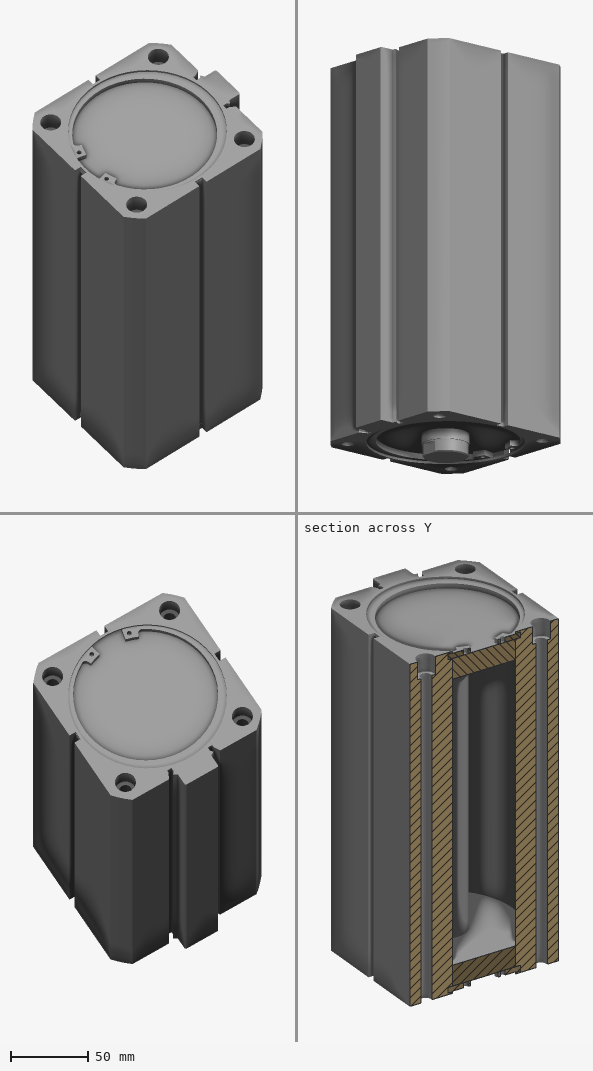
import cadquery as cq
import math

TOTAL_LENGTH = 260.0
ROD_REACH = 10.0
TUBE_LENGTH = TOTAL_LENGTH - ROD_REACH
TUBE_WIDTH = 115.0
HALF_WIDTH = TUBE_WIDTH / 2
CORNER_RADIUS = 74.4
BORE_RADIUS = 51.2

BOLT_OFFSET = 44.5
BOLT_HOLE_DIAMETER = 8.3
COUNTERBORE_DIAMETER = 13.5
COUNTERBORE_DEPTH = 13.0

SLOT_WIDTH = 6.0
SLOT_DEPTH = 4.7

RAIL_HALF_WIDTH = 12.7
RAIL_HEIGHT = 9.0
RAIL_CORNER_CHAMFER = 0.8
RAIL_TOP = HALF_WIDTH + RAIL_HEIGHT
HOOK_ROOT = 13.8
HOOK_TIP = 15.3
HOOK_TIP_Y = 56.0
HOOK_BASE_Y = 54.0
CHANNEL_FLOOR_Y = 51.5
CHANNEL_WALL = 17.2
CHANNEL_WALL_TOP_Y = 53.3
CHANNEL_MOUTH = 19.5

GROOVE_RADIUS = 53.0
RING_THICKNESS = 3.6
RING_INSET = 5.2
FRONT_RING_BOTTOM = RING_INSET - RING_THICKNESS
REAR_RING_BOTTOM = TUBE_LENGTH - RING_INSET
RING_INNER_RADIUS = 46.8
RING_ECCENTRICITY = 2.3
RING_GAP_ANGLE = 13.0
LUG_END_ANGLE = 24.5
LUG_INNER_RADIUS = 43.7
LUG_FILLET = 2.5
LUG_HOLE_RADIUS = 47.3
LUG_HOLE_ANGLE = 17.5
LUG_HOLE_DIAMETER = 3.0

CAP_THICKNESS = 15.5
REAR_CAP_BOTTOM = REAR_RING_BOTTOM - CAP_THICKNESS
COLLAR_DIAMETER = 31.0
COLLAR_REACH = 1.5

ROD_DIAMETER = 29.6
ROD_FLAT_OFFSET = 13.8
ROD_FLAT_LENGTH = 7.3
ROD_CHAMFER = 0.8


def disc(radius, bottom, height):
    """Solid disc on the cylinder axis."""
    return cq.Workplane("XY").workplane(offset=bottom).circle(radius).extrude(height)


def polar(radius, angle):
    """Point at an angle from -Y, counted towards +X, in degrees."""
    turn = math.radians(angle)
    return radius * math.sin(turn), -radius * math.cos(turn)


def make_rail():
    """Back rail with its hooked edges, reaching into the tube wall."""
    right_side = [
        (HOOK_ROOT, CHANNEL_FLOOR_Y),
        (HOOK_ROOT, HOOK_BASE_Y),
        (HOOK_TIP, HOOK_TIP_Y),
        (RAIL_HALF_WIDTH, HALF_WIDTH),
        (RAIL_HALF_WIDTH, RAIL_TOP - RAIL_CORNER_CHAMFER),
        (RAIL_HALF_WIDTH - RAIL_CORNER_CHAMFER, RAIL_TOP),
    ]
    left_side = [(-x, y) for x, y in reversed(right_side)]
    return cq.Workplane("XY").polyline(right_side + left_side).close().extrude(TUBE_LENGTH)


def make_rail_recess():
    """Opening in the back wall that leaves a channel on each side of the rail."""
    right_side = [
        (CHANNEL_WALL, CHANNEL_FLOOR_Y),
        (CHANNEL_WALL, CHANNEL_WALL_TOP_Y),
        (CHANNEL_MOUTH, HALF_WIDTH),
    ]
    left_side = [(-x, y) for x, y in reversed(right_side)]
    return cq.Workplane("XY").polyline(right_side + left_side).close().extrude(TUBE_LENGTH)


def make_tube():
    """Square tube with turned corners, bored and slotted along its whole length."""
    square = cq.Workplane("XY").rect(TUBE_WIDTH, TUBE_WIDTH).extrude(TUBE_LENGTH)
    tube = square.intersect(disc(CORNER_RADIUS, 0, TUBE_LENGTH))
    tube = tube.cut(make_rail_recess()).union(make_rail())

    tube = tube.cut(disc(BORE_RADIUS, 0, TUBE_LENGTH))
    for ring_bottom in (FRONT_RING_BOTTOM, REAR_RING_BOTTOM):
        tube = tube.cut(disc(GROOVE_RADIUS, ring_bottom, RING_THICKNESS))

    slot = cq.Workplane("XY").box(SLOT_WIDTH, SLOT_DEPTH, TUBE_LENGTH, centered=(True, False, False))
    slot = slot.translate((0, -HALF_WIDTH, 0))
    for turn in (0, 90, -90):
        tube = tube.cut(slot.rotate((0, 0, 0), (0, 0, 1), turn))

    return (
        tube.faces(">Z").workplane(origin=(0, 0, TUBE_LENGTH))
        .rect(2 * BOLT_OFFSET, 2 * BOLT_OFFSET, forConstruction=True).vertices()
        .cboreHole(BOLT_HOLE_DIAMETER, COUNTERBORE_DIAMETER, COUNTERBORE_DEPTH)
    )


def make_sector(half_angle, inner_radius):
    """Part of a ring blank within an angle on each side of -Y."""
    return (
        cq.Workplane("XY")
        .moveTo(*polar(inner_radius, -half_angle))
        .threePointArc(polar(inner_radius, 0), polar(inner_radius, half_angle))
        .lineTo(*polar(GROOVE_RADIUS, half_angle))
        .threePointArc(polar(GROOVE_RADIUS, 0), polar(GROOVE_RADIUS, -half_angle))
        .close().extrude(RING_THICKNESS)
    )


def make_retaining_ring(bottom):
    """Tapered ring with a gap on -Y and a drilled lug on each side of the gap."""
    opening = disc(RING_INNER_RADIUS, 0, RING_THICKNESS).translate((0, -RING_ECCENTRICITY, 0))
    ring = disc(GROOVE_RADIUS, 0, RING_THICKNESS).cut(opening)
    ring = ring.union(make_sector(LUG_END_ANGLE, LUG_INNER_RADIUS))

    for side in (-1, 1):
        root_x, root_y = polar(RING_INNER_RADIUS, side * LUG_END_ANGLE)
        nearest = cq.selectors.NearestToPointSelector((root_x, root_y, RING_THICKNESS / 2))
        ring = ring.edges("|Z").edges(nearest).fillet(LUG_FILLET)

    ring = ring.cut(make_sector(RING_GAP_ANGLE, LUG_INNER_RADIUS / 2))
    holes = (
        cq.Workplane("XY")
        .pushPoints([polar(LUG_HOLE_RADIUS, -LUG_HOLE_ANGLE), polar(LUG_HOLE_RADIUS, LUG_HOLE_ANGLE)])
        .circle(LUG_HOLE_DIAMETER / 2).extrude(RING_THICKNESS)
    )
    return ring.cut(holes).translate((0, 0, bottom))


def make_rear_cap():
    """Plain disc held in the bore by the rear retaining ring."""
    return disc(BORE_RADIUS, REAR_CAP_BOTTOM, CAP_THICKNESS)


def make_front_cap():
    """Cap with a collar that guides the rod out through the retaining ring."""
    cap = disc(BORE_RADIUS, RING_INSET, CAP_THICKNESS)
    cap = cap.union(disc(COLLAR_DIAMETER / 2, -COLLAR_REACH, COLLAR_REACH + RING_INSET))
    return cap.cut(disc(ROD_DIAMETER / 2, -COLLAR_REACH, COLLAR_REACH + RING_INSET + CAP_THICKNESS))


def make_rod():
    """Rod from its wrench flats up to the rear cap."""
    rod = disc(ROD_DIAMETER / 2, -ROD_REACH, ROD_REACH + REAR_CAP_BOTTOM)
    rod = rod.faces("<Z").chamfer(ROD_CHAMFER)
    flat_cutter = cq.Workplane("XY").box(
        ROD_DIAMETER, ROD_DIAMETER, ROD_FLAT_LENGTH, centered=(True, False, False)
    ).translate((0, ROD_FLAT_OFFSET, -ROD_REACH))
    for turn in (0, 180):
        rod = rod.cut(flat_cutter.rotate((0, 0, 0), (0, 0, 1), turn))
    return rod


tube = make_tube()
rear_cap = make_rear_cap()
front_cap = make_front_cap()
rod = make_rod()
rings = [make_retaining_ring(bottom) for bottom in (FRONT_RING_BOTTOM, REAR_RING_BOTTOM)]

result = cq.Compound.makeCompound([
    tube.val(),
    rear_cap.val(),
    front_cap.val(),
    rod.val(),
    *[ring.val() for ring in rings],
])